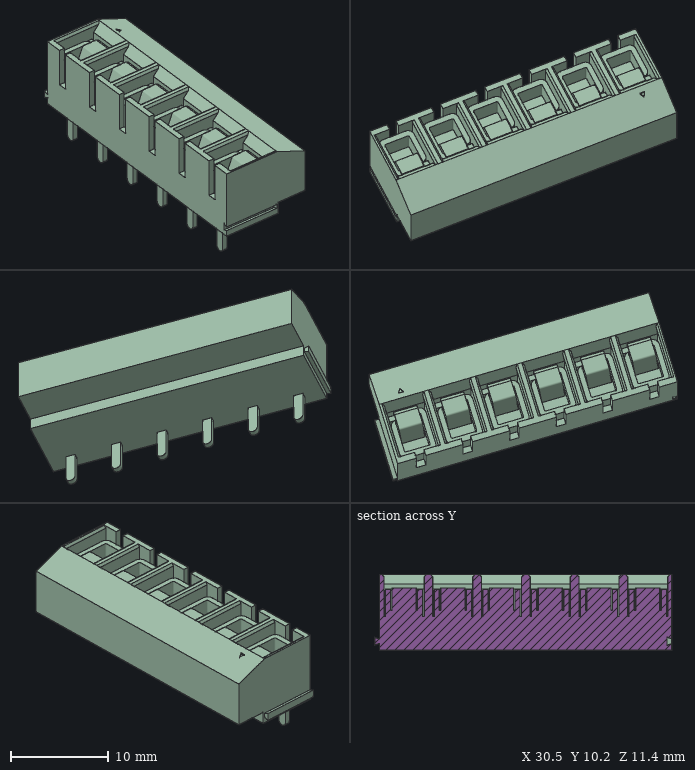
import cadquery as cq

POSITIONS = 6
PITCH = 5.0
FIRST_CENTRE = 2.53

TOTAL_LENGTH = 30.5
RAIL_REACH = 0.5
HOUSING_LENGTH = TOTAL_LENGTH - RAIL_REACH
DEPTH = 10.2
HEIGHT = 7.8
TOP_DEPTH = 6.53
BACK_HEIGHT = 6.35
BASE_DEPTH = 6.7
BACK_UNDERSIDE = 1.37

RAIL_CENTRE_Z = 0.95
RAIL_ROOT_HEIGHT = 0.45
RAIL_TIP_HEIGHT = 0.82

FRONT_WALL = 0.65
POCKET_WIDTH = 4.5
POCKET_FLOOR = 3.5
LEDGE_WIDTH = 0.2
LEDGE_DROP = 0.27
BACK_SLOPE_DEPTH = 0.88
BACK_SLOPE_DROP = 1.0
LOWER_POCKET_WIDTH = POCKET_WIDTH - 2 * LEDGE_WIDTH
POCKET_BACK = TOP_DEPTH - BACK_SLOPE_DEPTH
SLOT_WIDTH = 1.0

CLAMP_WIDTH = 3.87
CLAMP_BACK = 5.35
CLAMP_TOP = 6.28
CLAMP_CORNER = 0.67
OPENING_WIDTH = 2.75
OPENING_FRONT = 1.28
OPENING_BACK = 4.8
OPENING_FLOOR = 4.15
OPENING_CORNER = 0.15
LAP_DROP = 0.12

TONGUE_WIDTH = 2.5
TONGUE_TOP = 6.45
TONGUE_TOE = 2.7
TONGUE_NOSE = 3.63
TONGUE_ROUNDING = 0.25
TONGUE_HEEL_DROP = 0.15

PIN_WIDTH = 1.0
PIN_FRONT = 1.0
PIN_THICKNESS = 0.58
PIN_LENGTH = 3.6

MARK_WIDTH = 0.55
MARK_FRONT = 7.17
MARK_LENGTH = 0.45
MARK_RECESS = 0.15


def box(x_min, x_max, y_min, y_max, z_min, z_max):
    return cq.Workplane("XY").box(
        x_max - x_min, y_max - y_min, z_max - z_min, centered=False
    ).translate((x_min, y_min, z_min))


def centred_box(centre_x, width, y_min, y_max, z_min, z_max):
    return box(centre_x - width / 2, centre_x + width / 2, y_min, y_max, z_min, z_max)


def housing_block():
    profile = [
        (0, 0),
        (BASE_DEPTH, 0),
        (BASE_DEPTH, BACK_UNDERSIDE),
        (DEPTH, BACK_UNDERSIDE),
        (DEPTH, BACK_HEIGHT),
        (TOP_DEPTH, HEIGHT),
        (0, HEIGHT),
    ]
    return cq.Workplane("YZ").polyline(profile).close().extrude(HOUSING_LENGTH)


def dovetail(wall_x):
    """Dovetail running front to back, widening toward -X from the given wall."""
    tip_x = wall_x - RAIL_REACH
    root = RAIL_ROOT_HEIGHT / 2
    tip = RAIL_TIP_HEIGHT / 2
    profile = [
        (wall_x, RAIL_CENTRE_Z - root),
        (wall_x, RAIL_CENTRE_Z + root),
        (tip_x, RAIL_CENTRE_Z + tip),
        (tip_x, RAIL_CENTRE_Z - tip),
    ]
    return cq.Workplane("XZ").polyline(profile).close().extrude(-TOP_DEPTH)


def pocket(centre_x):
    """Open-topped pocket with a sloping back and a sloping ledge along each side."""
    half_top = POCKET_WIDTH / 2
    half_low = LOWER_POCKET_WIDTH / 2
    ledge_z = HEIGHT - LEDGE_DROP
    across = [
        (centre_x - half_low, POCKET_FLOOR),
        (centre_x + half_low, POCKET_FLOOR),
        (centre_x + half_low, ledge_z),
        (centre_x + half_top, HEIGHT),
        (centre_x - half_top, HEIGHT),
        (centre_x - half_low, ledge_z),
    ]
    along = [
        (FRONT_WALL, POCKET_FLOOR),
        (POCKET_BACK, POCKET_FLOOR),
        (POCKET_BACK, HEIGHT - BACK_SLOPE_DROP),
        (TOP_DEPTH, HEIGHT),
        (FRONT_WALL, HEIGHT),
    ]
    cross_section = cq.Workplane("XZ").polyline(across).close().extrude(-TOP_DEPTH)
    side_section = cq.Workplane("YZ").polyline(along).close().extrude(HOUSING_LENGTH)
    return cross_section.intersect(side_section)


def front_slot(centre_x):
    return centred_box(centre_x, SLOT_WIDTH, 0, FRONT_WALL, POCKET_FLOOR, HEIGHT)


def clamp_frame(centre_x):
    """Rounded frame whose left side stops short, leaving a lower lap at the back corner."""
    left = centre_x - CLAMP_WIDTH / 2
    lap_right = centre_x - TONGUE_WIDTH / 2
    frame = centred_box(centre_x, CLAMP_WIDTH, FRONT_WALL, CLAMP_BACK, POCKET_FLOOR, CLAMP_TOP)
    back_corner = box(left, lap_right, OPENING_BACK, CLAMP_BACK, POCKET_FLOOR, CLAMP_TOP)
    frame = frame.cut(back_corner).edges("|Z and (<X or >X)").fillet(CLAMP_CORNER)
    opening = centred_box(
        centre_x, OPENING_WIDTH, OPENING_FRONT, OPENING_BACK, OPENING_FLOOR, CLAMP_TOP
    ).edges("|Z").fillet(OPENING_CORNER)
    lap = box(left, lap_right, OPENING_BACK, CLAMP_BACK, POCKET_FLOOR, CLAMP_TOP - LAP_DROP)
    return frame.cut(opening).union(lap)


def tongue(centre_x):
    """Tongue with a steep front, a rounded nose and a falling heel against the pocket back."""
    profile = [
        (TONGUE_TOE, OPENING_FLOOR),
        (TONGUE_NOSE, TONGUE_TOP),
        (CLAMP_BACK, TONGUE_TOP),
        (POCKET_BACK, TONGUE_TOP - TONGUE_HEEL_DROP),
        (POCKET_BACK, OPENING_FLOOR),
    ]
    blank = (
        cq.Workplane("YZ", origin=(centre_x - TONGUE_WIDTH / 2, 0, 0))
        .polyline(profile)
        .close()
        .extrude(TONGUE_WIDTH)
    )
    nose_edge = cq.selectors.NearestToPointSelector((centre_x, TONGUE_NOSE, TONGUE_TOP))
    return blank.edges(nose_edge).fillet(TONGUE_ROUNDING)


def pin(centre_x):
    """Flat pin with a half-round tip, hanging below the housing."""
    radius = PIN_WIDTH / 2
    return (
        cq.Workplane("XZ", origin=(centre_x, PIN_FRONT, 0))
        .moveTo(-radius, 0)
        .lineTo(-radius, radius - PIN_LENGTH)
        .threePointArc((0, -PIN_LENGTH), (radius, radius - PIN_LENGTH))
        .lineTo(radius, 0)
        .close()
        .extrude(-PIN_THICKNESS)
    )


def roof_mark():
    """Triangle cut straight down to a floor parallel to the sloping roof."""
    triangle = [
        (FIRST_CENTRE - MARK_WIDTH / 2, MARK_FRONT),
        (FIRST_CENTRE + MARK_WIDTH / 2, MARK_FRONT),
        (FIRST_CENTRE, MARK_FRONT + MARK_LENGTH),
    ]
    column = cq.Workplane("XY").polyline(triangle).close().extrude(HEIGHT)
    return column.cut(housing_block().translate((0, 0, -MARK_RECESS)))


part = housing_block().union(dovetail(0)).cut(dovetail(HOUSING_LENGTH)).cut(roof_mark())
for index in range(POSITIONS):
    centre = FIRST_CENTRE + index * PITCH
    part = part.cut(pocket(centre)).cut(front_slot(centre))
    part = part.union(clamp_frame(centre)).union(tongue(centre)).union(pin(centre))

result = part